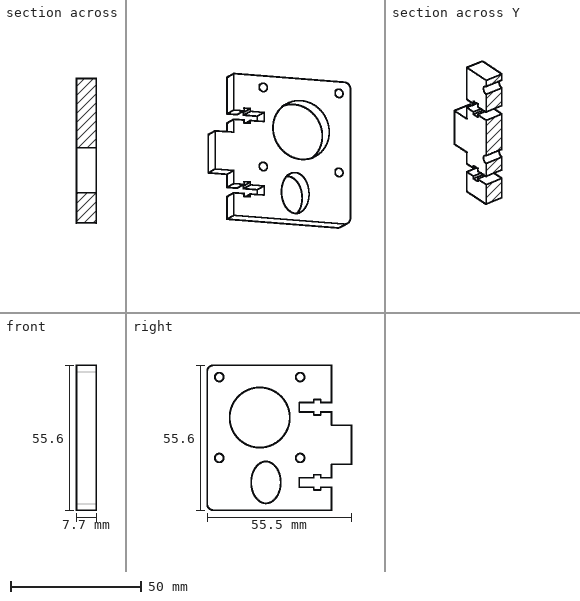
import cadquery as cq

thickness = 7.7
plate_depth = 47.75
plate_height = 55.65
corner_radius = 2.5

tab_length = thickness
tab_height = 15.0
joint_z = 25.1

slot_offset = 14.4
slot_depth = 12.35
slot_height = 3.55
nut_start = 4.2
nut_width = 2.6
nut_height = 5.8

motor_y = 20.2
motor_z = 35.55
motor_opening_diameter = 23.0
screw_spacing = 31.0
screw_diameter = 3.3

ellipse_y = 22.6
ellipse_z = joint_z - slot_offset
ellipse_width = 11.25
ellipse_height = 15.95


def block(y_start, y_end, z_center, height):
    """Full-thickness block between two Y positions, centred on a height."""
    length = y_end - y_start
    middle = (0, (y_start + y_end) / 2, z_center)
    return cq.Workplane("XY").box(thickness, length, height).translate(middle)


def side_plane(y, z):
    """Sketch plane on the -X face of the plate, with its origin at (y, z)."""
    return cq.Workplane("YZ", origin=(-thickness / 2, y, z))


def t_slot(z_center):
    """Screw slot open at the back edge, crossed by a nut pocket."""
    slot = block(plate_depth - slot_depth, plate_depth, z_center, slot_height)
    nut_back = plate_depth - nut_start
    nut_pocket = block(nut_back - nut_width, nut_back, z_center, nut_height)
    return slot.union(nut_pocket)


plate = block(0, plate_depth, plate_height / 2, plate_height)
plate = plate.edges("|X and <Y").fillet(corner_radius)
tab = block(plate_depth, plate_depth + tab_length, joint_z, tab_height)
result = plate.union(tab)

for side in (-1, 1):
    result = result.cut(t_slot(joint_z + side * slot_offset))

motor_plane = side_plane(motor_y, motor_z)
opening = motor_plane.circle(motor_opening_diameter / 2).extrude(thickness)
screws = (
    motor_plane.rect(screw_spacing, screw_spacing, forConstruction=True)
    .vertices()
    .circle(screw_diameter / 2)
    .extrude(thickness)
)
result = result.cut(opening).cut(screws)

ellipse = (
    side_plane(ellipse_y, ellipse_z)
    .ellipse(ellipse_width / 2, ellipse_height / 2)
    .extrude(thickness)
)
result = result.cut(ellipse)